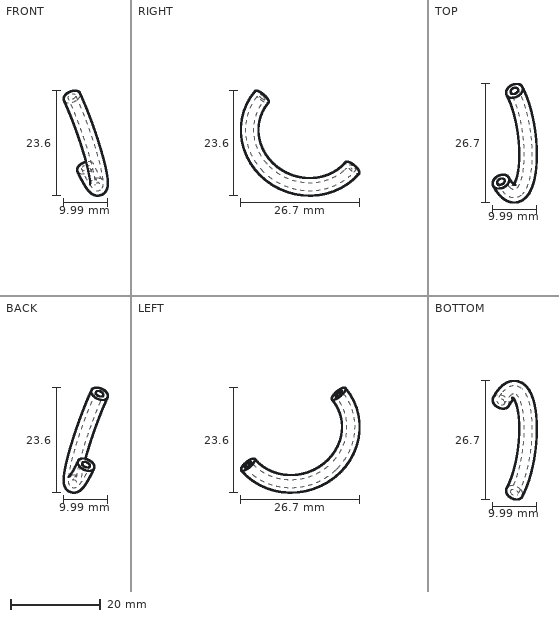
import cadquery as cq

BEND_RADIUS = 13.0
OUTER_DIAMETER = 4.0
BORE_DIAMETER = 1.8

BOW_DROP = 65.2
CHORD_DIP = 37.7
CHORD_SWING = 8.45


def centreline():
    """Two tangent quarter arcs about the origin, from -Y through +X to +Y."""
    return (
        cq.Workplane("XY")
        .moveTo(0, -BEND_RADIUS)
        .radiusArc((BEND_RADIUS, 0), -BEND_RADIUS)
        .radiusArc((0, BEND_RADIUS), -BEND_RADIUS)
    )


def half_ring():
    """Tube with its chord along Y, its bow toward +X and flat open ends."""
    return (
        cq.Workplane("YZ")
        .center(-BEND_RADIUS, 0)
        .circle(OUTER_DIAMETER / 2)
        .circle(BORE_DIAMETER / 2)
        .sweep(centreline())
    )


def tilt(body):
    """Turn the half ring about its chord, then tip and swing the chord."""
    origin = (0, 0, 0)
    bowed = body.rotate(origin, (0, 1, 0), BOW_DROP)
    dipped = bowed.rotate(origin, (1, 0, 0), -CHORD_DIP)
    return dipped.rotate(origin, (0, 0, 1), -CHORD_SWING)


result = tilt(half_ring())